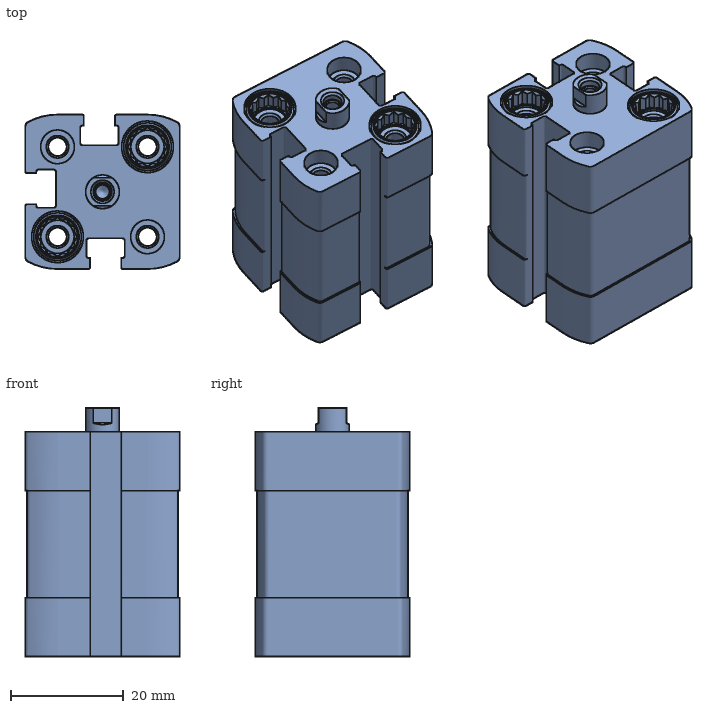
import cadquery as cq
import math

width = 27.5
body_height = 40.0
cap_height = 10.5
barrel_inset = 0.3

corner_run = 5.75
corner_radius = 11.0
edge_radius = 1.0

slot_offset = 0.55
slot_mouth = 5.5
slot_inner = 6.75
slot_lip = 2.0
slot_depth = 5.45
slot_fillet = 0.35

hole_offset = 8.0
thread_diameter = 3.24
thread_mouth = 4.0
counterbore_diameter = 6.0
counterbore_depth = 3.4

recess_diameter = 9.2
recess_depth = 0.6
head_diameter = 8.5
head_top_depth = 0.2
socket_flats = 6.0
socket_mouth = 7.2
socket_depth = 3.15
socket_floor_diameter = 5.9
socket_floor_depth = 3.6

rod_diameter = 6.0
rod_projection = 4.2
rod_engagement = cap_height
flat_spacing = 5.0
flat_length = 2.65
flat_runout = 0.3
rod_mouth_diameter = 4.13
rod_entry_diameter = 3.3
rod_entry_depth = 1.5
rod_thread_mouth = 3.0
rod_thread_diameter = 2.46
rod_thread_depth = 8.0
drill_point_angle = 118.0

half_width = width / 2
rod_top = body_height + rod_projection


def cone(top_diameter, bottom_diameter, height, top_z, center=(0, 0)):
    """Conical frustum hanging down from top_z."""
    x, y = center
    return cq.Workplane(obj=cq.Solid.makeCone(
        bottom_diameter / 2, top_diameter / 2, height, pnt=cq.Vector(x, y, top_z - height)))


def cylinder(diameter, height, top_z, center=(0, 0)):
    """Cylinder hanging down from top_z."""
    x, y = center
    return cq.Workplane("XY", origin=(x, y, top_z - height)).circle(diameter / 2).extrude(height)


def section(half, bottom_z, height):
    """Prism of the rounded-square outline whose faces lie at +-half."""
    arc_x = half - corner_run
    arc_y = half - corner_radius
    edge_x = half - edge_radius
    span = corner_radius - edge_radius
    edge_y = arc_y + math.sqrt(span ** 2 - (edge_x - arc_x) ** 2)
    join_angle = math.atan2(edge_y - arc_y, edge_x - arc_x)
    large_mid_angle = (math.pi / 2 + join_angle) / 2
    small_mid_angle = join_angle / 2

    def on_large(angle):
        return arc_x + corner_radius * math.cos(angle), arc_y + corner_radius * math.sin(angle)

    def on_small(angle):
        return edge_x + edge_radius * math.cos(angle), edge_y + edge_radius * math.sin(angle)

    start = (arc_x, half)
    large_mid = on_large(large_mid_angle)
    join = on_large(join_angle)
    small_mid = on_small(small_mid_angle)
    end = (half, edge_y)

    def place(point, sx, sy):
        return sx * point[0], sy * point[1]

    outline = cq.Workplane("XY", origin=(0, 0, bottom_z)).moveTo(*place(start, -1, 1))
    for sx, sy, from_y_face in ((1, 1, True), (1, -1, False), (-1, -1, True), (-1, 1, False)):
        points = [start, large_mid, join, small_mid, end]
        if not from_y_face:
            points.reverse()
        first, mid_a, middle, mid_b, last = [place(p, sx, sy) for p in points]
        outline = outline.lineTo(*first).threePointArc(mid_a, middle).threePointArc(mid_b, last)
    return outline.close().extrude(height)


def t_slot(face, bottom_z, height):
    """T-slot cutter opening through the +Y side of a section whose faces lie at +-face."""
    floor_y = half_width - slot_depth
    lip_y = half_width - slot_lip
    base = cq.Workplane("XY", origin=(0, 0, bottom_z))
    chamber = (
        base.center(0, (floor_y + lip_y) / 2)
        .rect(slot_inner, lip_y - floor_y)
        .extrude(height)
        .edges("|Z").fillet(slot_fillet)
    )
    mouth_x = slot_mouth / 2
    flare_x = mouth_x + slot_fillet
    flare_y = face - slot_fillet
    mouth = (
        base.moveTo(-mouth_x, floor_y + slot_fillet)
        .lineTo(-mouth_x, flare_y)
        .radiusArc((-flare_x, face), -slot_fillet)
        .lineTo(flare_x, face)
        .radiusArc((mouth_x, flare_y), -slot_fillet)
        .lineTo(mouth_x, floor_y + slot_fillet)
        .close().extrude(height)
    )
    return chamber.union(mouth)


def slotted_section(inset, bottom_z, height):
    """Housing section with slots on the +Y, -Y and -X sides."""
    half = half_width - inset
    body = section(half, bottom_z, height)
    slot = t_slot(half, bottom_z, height)
    for turn, dx, dy in ((0, -slot_offset, 0), (180, slot_offset, 0), (90, 0, slot_offset)):
        body = body.cut(slot.rotate((0, 0, 0), (0, 0, 1), turn).translate((dx, dy, 0)))
    return body


def threaded_hole(center, floor_z):
    """Through hole with a 45 degree countersink starting at floor_z."""
    sink_depth = (thread_mouth - thread_diameter) / 2
    return cylinder(thread_diameter, floor_z, floor_z, center).union(
        cone(thread_mouth, thread_diameter, sink_depth, floor_z, center))


def counterbored_hole(center):
    floor_z = body_height - counterbore_depth
    return cylinder(counterbore_diameter, counterbore_depth, body_height, center).union(
        threaded_hole(center, floor_z))


def twelve_point_prism(center, top_z, height):
    """Two hexagons, 30 degrees apart, with points on the X and Y axes."""
    hexagon = cq.Workplane("XY").polygon(6, socket_flats, circumscribed=True).extrude(height)
    star = hexagon.union(hexagon.rotate((0, 0, 0), (0, 0, 1), 30))
    return star.translate((center[0], center[1], top_z - height))


def socket_recess(center):
    """Recess around a chamfered screw head with its twelve-point socket and threaded hole."""
    head_top = body_height - head_top_depth
    chamfer = recess_depth - head_top_depth
    socket_bottom = body_height - socket_depth
    socket_floor = body_height - socket_floor_depth
    mouth_cone_height = (socket_mouth - socket_flats) / 2

    head = cone(head_diameter - 2 * chamfer, head_diameter, chamfer, head_top, center)
    cutter = cylinder(recess_diameter, recess_depth, body_height, center).cut(head)
    cutter = cutter.union(cone(socket_mouth, socket_flats, mouth_cone_height, head_top, center))
    cutter = cutter.union(twelve_point_prism(center, head_top, head_top - socket_bottom))
    cutter = cutter.union(
        cylinder(socket_floor_diameter, socket_bottom - socket_floor, socket_bottom, center))
    return cutter.union(threaded_hole(center, socket_floor))


def make_housing():
    barrel_height = body_height - 2 * cap_height
    body = slotted_section(0, 0, cap_height)
    body = body.union(slotted_section(barrel_inset, cap_height, barrel_height))
    body = body.union(slotted_section(0, body_height - cap_height, cap_height))
    for side in (-1, 1):
        body = body.cut(counterbored_hole((side * hole_offset, -side * hole_offset)))
        body = body.cut(socket_recess((side * hole_offset, side * hole_offset)))
    return body.cut(cylinder(rod_diameter, rod_engagement, body_height))


def wrench_flat():
    """Cutter for the flat on the +Y side, with a sloped lower end."""
    flat_y = flat_spacing / 2
    rod_radius = rod_diameter / 2
    return (
        cq.Workplane("YZ", origin=(-rod_radius, 0, 0))
        .moveTo(flat_y, rod_top)
        .lineTo(flat_y, rod_top - flat_length)
        .lineTo(rod_radius, rod_top - flat_length - flat_runout)
        .lineTo(rod_radius, rod_top)
        .close().extrude(rod_diameter)
    )


def rod_bore():
    """Countersunk entry bore and thread hole with a drill point, as one revolved cutter."""
    mouth = rod_mouth_diameter / 2
    entry = rod_entry_diameter / 2
    thread_mouth_radius = rod_thread_mouth / 2
    thread = rod_thread_diameter / 2
    thread_bottom = rod_top - rod_thread_depth
    point_depth = thread / math.tan(math.radians(drill_point_angle / 2))
    entry_bottom = rod_top - rod_entry_depth
    return (
        cq.Workplane("XZ")
        .moveTo(0, rod_top)
        .lineTo(mouth, rod_top)
        .lineTo(entry, rod_top - (mouth - entry))
        .lineTo(entry, entry_bottom)
        .lineTo(thread_mouth_radius, entry_bottom)
        .lineTo(thread, entry_bottom - (thread_mouth_radius - thread))
        .lineTo(thread, thread_bottom)
        .lineTo(0, thread_bottom - point_depth)
        .close().revolve(360, (0, 0), (0, 1))
    )


def make_piston_rod():
    rod = cylinder(rod_diameter, rod_projection + rod_engagement, rod_top)
    for turn in (0, 180):
        rod = rod.cut(wrench_flat().rotate((0, 0, 0), (0, 0, 1), turn))
    return rod.cut(rod_bore())


housing = make_housing()
piston_rod = make_piston_rod()

result = cq.Compound.makeCompound([housing.solids().val(), piston_rod.solids().val()])